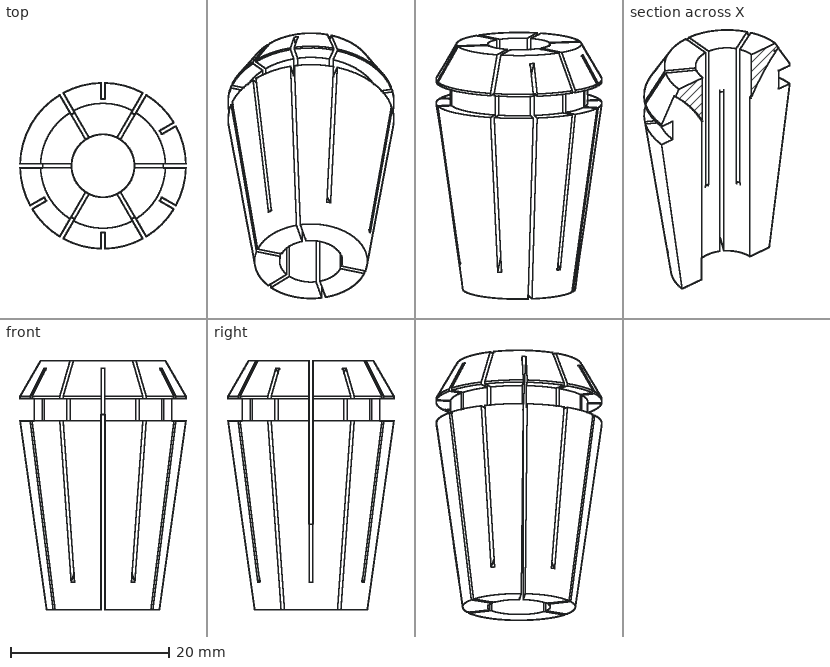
import cadquery as cq
import math

length = 31.5
outer_radius = 10.5
bore_radius = 3.97

body_top = 23.9
body_taper = math.radians(8)
body_bottom_radius = outer_radius - body_top * math.tan(body_taper)

groove_radius = 8.7
head_bottom = 26.7

lip_height = 0.3
lip_top = head_bottom + lip_height
nose_taper = math.radians(30)
nose_radius = outer_radius - (length - lip_top) * math.tan(nose_taper)

slot_width = 0.5
slots_per_end = 6
slot_pitch = 360 / slots_per_end
saw_radius = 22.5
clearance = 1.0

top_slot_outer_z = 3.5
top_slot_bore_z = 10.85
bottom_slot_outer_z = 30.55
bottom_slot_bore_z = 24.7


def make_collet_blank():
    """Tapered body, groove and head turned around the bore."""
    return (
        cq.Workplane("XZ")
        .moveTo(bore_radius, 0)
        .lineTo(body_bottom_radius, 0)
        .lineTo(outer_radius, body_top)
        .lineTo(groove_radius, body_top)
        .lineTo(groove_radius, head_bottom)
        .lineTo(outer_radius, head_bottom)
        .lineTo(outer_radius, lip_top)
        .lineTo(nose_radius, length)
        .lineTo(bore_radius, length)
        .close()
        .revolve(360, (0, 0, 0), (0, 1, 0))
    )


def arc_midpoint(start, end, radius, bulge_side):
    """Middle of the arc from start to end; bulge_side is -1 to bulge down, +1 up."""
    run = end[0] - start[0]
    rise = end[1] - start[1]
    chord = math.hypot(run, rise)
    sagitta = radius - math.sqrt(radius**2 - (chord / 2) ** 2)
    turn = math.copysign(1, run) * bulge_side
    normal = (-rise / chord * turn, run / chord * turn)
    mid_x = (start[0] + end[0]) / 2 + sagitta * normal[0]
    mid_z = (start[1] + end[1]) / 2 + sagitta * normal[1]
    return (mid_x, mid_z)


def make_slot_cutter(outer_end, bore_end, open_z, bulge_side):
    """Thin radial blade along +X with an arc floor, open past the end face at open_z."""
    outside_x = outer_radius + clearance
    return (
        cq.Workplane("XZ")
        .moveTo(0, open_z)
        .lineTo(outside_x, open_z)
        .lineTo(outside_x, outer_end[1])
        .lineTo(*outer_end)
        .threePointArc(arc_midpoint(outer_end, bore_end, saw_radius, bulge_side), bore_end)
        .lineTo(0, bore_end[1])
        .close()
        .extrude(slot_width / 2, both=True)
    )


def cut_slots(body, cutter, first_angle):
    """Cut one ring of evenly spaced radial slots."""
    for index in range(slots_per_end):
        angle = first_angle + index * slot_pitch
        body = body.cut(cutter.rotate((0, 0, 0), (0, 0, 1), angle))
    return body


top_slot_outer_radius = body_bottom_radius + top_slot_outer_z * math.tan(body_taper)
bottom_slot_outer_radius = nose_radius + (length - bottom_slot_outer_z) * math.tan(nose_taper)

top_slot_cutter = make_slot_cutter(
    outer_end=(top_slot_outer_radius, top_slot_outer_z),
    bore_end=(bore_radius, top_slot_bore_z),
    open_z=length + clearance,
    bulge_side=-1,
)
bottom_slot_cutter = make_slot_cutter(
    outer_end=(bottom_slot_outer_radius, bottom_slot_outer_z),
    bore_end=(bore_radius, bottom_slot_bore_z),
    open_z=-clearance,
    bulge_side=1,
)

collet = make_collet_blank()
collet = cut_slots(collet, top_slot_cutter, first_angle=0)
collet = cut_slots(collet, bottom_slot_cutter, first_angle=slot_pitch / 2)

result = collet